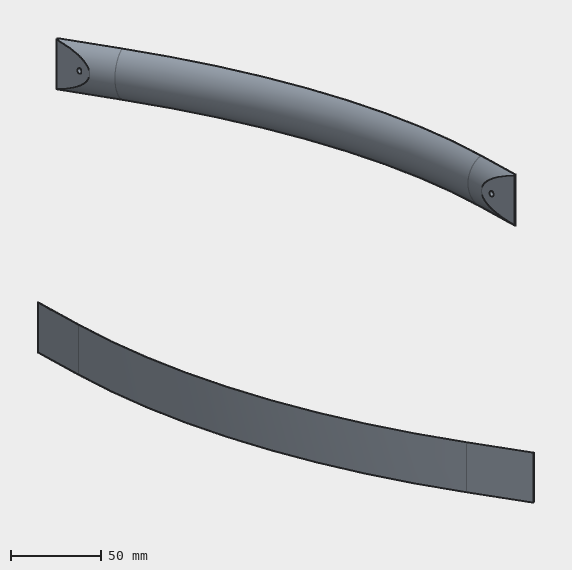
import cadquery as cq
import math

length = 356.0
rise = 32.8
width = 30.0

crown_thickness = 8.2

back_radius = 487.7
bend_half_length = 139.5

hole_diameter = 3.2
hole_depth = 4.3
hole_end_distance = 17.8

half_length = length / 2
bend_center_y = rise - back_radius
bend_half_angle = math.degrees(math.asin(bend_half_length / back_radius))
straight_length = 2 * (half_length - bend_half_length)


def bar_section():
    """Section on the YZ plane at mid-length, with the crown towards -Y."""
    return (
        cq.Workplane("YZ")
        .moveTo(rise, -width / 2)
        .lineTo(rise, width / 2)
        .threePointArc((rise - crown_thickness, 0), (rise, -width / 2))
        .close()
    )


def rotate_about_bend(body, angle):
    """Turn a body about the vertical axis of the bend."""
    return body.rotate((0, bend_center_y, 0), (0, bend_center_y, 1), angle)


def curved_middle():
    bend = bar_section().revolve(
        2 * bend_half_angle, (bend_center_y, 0, 0), (bend_center_y, 1, 0)
    )
    return rotate_about_bend(bend, -bend_half_angle)


def straight_end(side):
    """Straight end on the -X (side = -1) or +X (side = 1) half."""
    end = bar_section().extrude(side * straight_length)
    return rotate_about_bend(end, -side * bend_half_angle)


bar = curved_middle()
for side in (-1, 1):
    bar = bar.union(straight_end(side))

envelope = cq.Workplane("XY").box(length, rise, width).translate((0, rise / 2, 0))
bar = bar.intersect(envelope)

hole_x = half_length - hole_end_distance
holes = (
    cq.Workplane("XZ")
    .pushPoints([(-hole_x, 0), (hole_x, 0)])
    .circle(hole_diameter / 2)
    .extrude(-hole_depth)
)

result = bar.cut(holes)